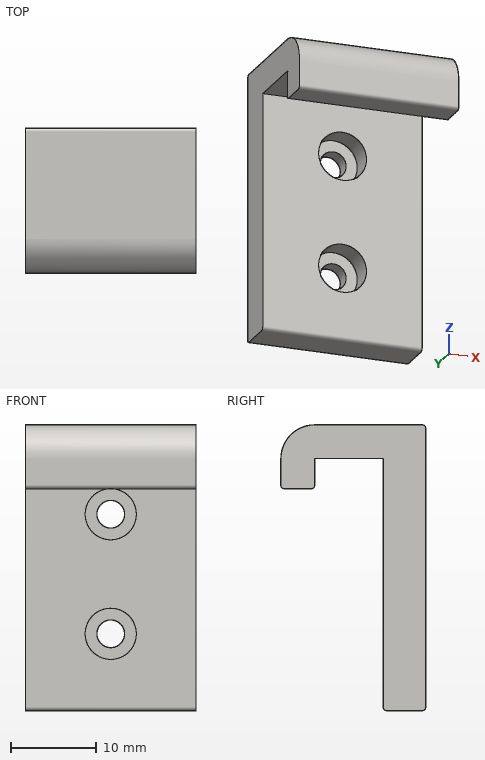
import cadquery as cq

width = 20.0
depth = 17.0
height = 33.5

plate_thickness = 5.0
hook_thickness = 4.0
lip_height = 7.5
bend_radius = hook_thickness
edge_radius = 0.4

hole_diameter = 3.2
counterbore_diameter = 6.0
counterbore_depth = 3.0
upper_hole_drop = 10.5
hole_spacing = 14.0

plate_front = depth - plate_thickness
lip_bottom = height - lip_height
hook_underside = height - hook_thickness


def hook_body():
    """Extrude the hook section across the width, then round its edges."""
    section = [
        (0, height),
        (depth, height),
        (depth, 0),
        (plate_front, 0),
        (plate_front, hook_underside),
        (hook_thickness, hook_underside),
        (hook_thickness, lip_bottom),
        (0, lip_bottom),
    ]
    body = cq.Workplane("YZ").polyline(section).close().extrude(width)

    def edge_at(y, z):
        return cq.NearestToPointSelector((width / 2, y, z))

    body = body.edges(edge_at(0, height)).fillet(bend_radius)
    small_corners = [
        (depth, height),
        (depth, 0),
        (plate_front, 0),
        (hook_thickness, lip_bottom),
        (0, lip_bottom),
    ]
    for y, z in small_corners:
        body = body.edges("|X").edges(edge_at(y, z)).fillet(edge_radius)
    return body


def screw_hole(z):
    """Through hole with a counterbore sunk from the front of the plate."""
    front = cq.Workplane("XZ", origin=(width / 2, plate_front, z))
    bore = front.circle(hole_diameter / 2).extrude(-plate_thickness)
    counterbore = front.circle(counterbore_diameter / 2).extrude(-counterbore_depth)
    return bore.union(counterbore)


result = hook_body()
upper_hole_z = height - upper_hole_drop
for hole_z in (upper_hole_z, upper_hole_z - hole_spacing):
    result = result.cut(screw_hole(hole_z))